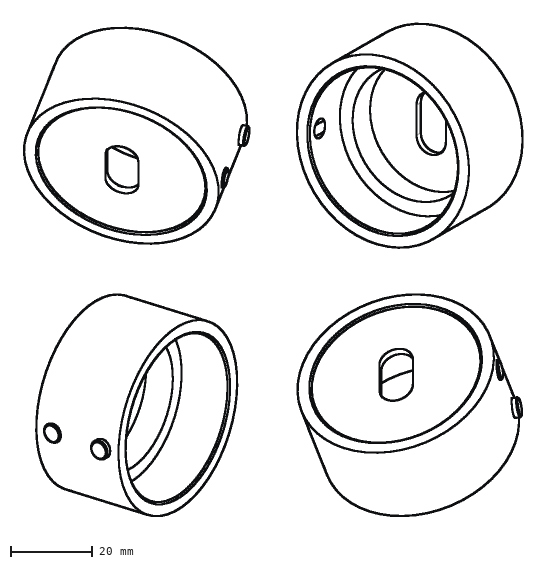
import cadquery as cq

HOUSING_DIAMETER = 50.0
HOUSING_LENGTH = 25.0
BORE_DIAMETER = 43.0
BORE_CHAMFER = 0.45

CAP_CLEARANCE = 0.05
CAP_RECESS = BORE_CHAMFER
CAP_LENGTH = 10.2
CAP_FLOOR = 2.05
CAP_INNER_RADIUS = 17.75
SLOT_WIDTH = 8.5
SLOT_HEIGHT = 16.5

SCREW_DIAMETER = 5.0
SCREW_LENGTH = 5.0
SCREW_CHAMFER = 0.3
SCREW_END_INSET = 5.0
REAR_SCREW_PROJECTION = 1.45
FRONT_SCREW_PROJECTION = 0.45

HOUSING_RADIUS = HOUSING_DIAMETER / 2
CAP_RADIUS = BORE_DIAMETER / 2 - CAP_CLEARANCE
FRONT_FACE_Y = -HOUSING_LENGTH / 2
SCREW_OFFSET_Y = HOUSING_LENGTH / 2 - SCREW_END_INSET

REAR_SCREW = (SCREW_OFFSET_Y, HOUSING_RADIUS + REAR_SCREW_PROJECTION)
FRONT_SCREW = (-SCREW_OFFSET_Y, HOUSING_RADIUS + FRONT_SCREW_PROJECTION)
SCREW_PLACES = [REAR_SCREW, FRONT_SCREW]


def plane_at_y(y):
    """Plane facing +Y, with Z as its local vertical axis."""
    return cq.Plane(origin=(0, y, 0), xDir=(0, 0, 1), normal=(0, 1, 0))


def screw_shank(axis_y, outer_x):
    """Plain cylinder along X, ending at outer_x."""
    inner_plane = cq.Plane(origin=(outer_x - SCREW_LENGTH, axis_y, 0), xDir=(0, 1, 0), normal=(1, 0, 0))
    return cq.Workplane(inner_plane).circle(SCREW_DIAMETER / 2).extrude(SCREW_LENGTH)


def make_screw(axis_y, outer_x):
    """Set screw with a chamfered outer end."""
    return screw_shank(axis_y, outer_x).faces(">X").chamfer(SCREW_CHAMFER)


def make_housing():
    """Tube with both bore mouths chamfered and a radial hole for each screw."""
    tube = cq.Workplane(plane_at_y(FRONT_FACE_Y)).circle(HOUSING_RADIUS).extrude(HOUSING_LENGTH)
    bore = cq.Workplane(plane_at_y(FRONT_FACE_Y)).circle(BORE_DIAMETER / 2).extrude(HOUSING_LENGTH)
    housing = tube.cut(bore)
    housing = housing.faces("<Y or >Y").edges(cq.selectors.RadiusNthSelector(0)).chamfer(BORE_CHAMFER)
    for axis_y, outer_x in SCREW_PLACES:
        housing = housing.cut(screw_shank(axis_y, outer_x))
    return housing


def make_cap():
    """Cup open to the rear, with a slot through its floor and a recess for the front screw."""
    cap_front_y = FRONT_FACE_Y + CAP_RECESS
    body = cq.Workplane(plane_at_y(cap_front_y)).circle(CAP_RADIUS).extrude(CAP_LENGTH)
    cavity_plane = plane_at_y(cap_front_y + CAP_FLOOR)
    cavity = cq.Workplane(cavity_plane).circle(CAP_INNER_RADIUS).extrude(CAP_LENGTH - CAP_FLOOR)
    slot = cq.Workplane(plane_at_y(cap_front_y)).slot2D(SLOT_HEIGHT, SLOT_WIDTH).extrude(CAP_FLOOR)
    return body.cut(cavity).cut(slot).cut(screw_shank(*FRONT_SCREW))


housing = make_housing()
cap = make_cap()
screws = [make_screw(axis_y, outer_x) for axis_y, outer_x in SCREW_PLACES]

result = cq.Compound.makeCompound([housing.val(), cap.val(), *[screw.val() for screw in screws]])